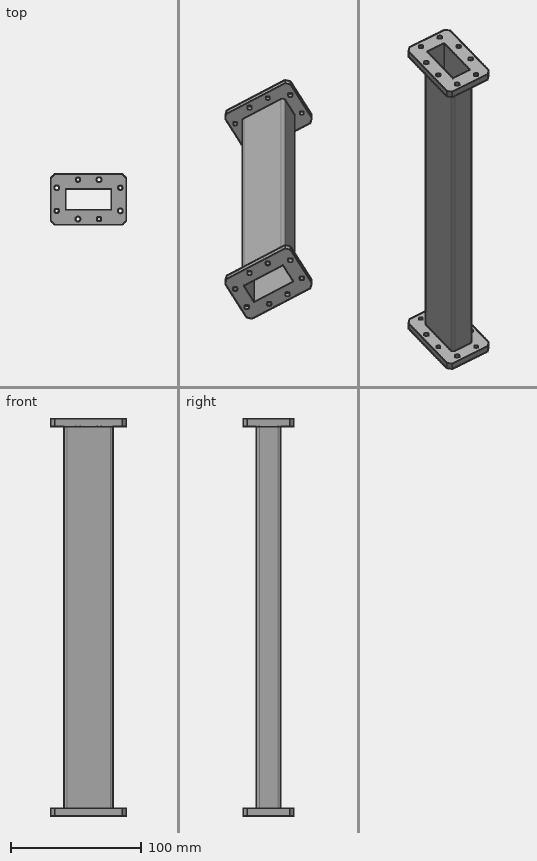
import cadquery as cq

length = 304.8
flange_width = 58.0
flange_depth = 39.0
flange_thickness = 6.0
flange_corner = 3.0

bore_width = 34.7
bore_depth = 16.0
wall = 1.6
tube_corner = 2.5
tube_width = bore_width + 2 * wall
tube_depth = bore_depth + 2 * wall

end_pair_span = 48.8
end_pair_pitch = 17.7
side_pair_span = 30.2
side_pair_pitch = 16.2

plain_hole_diameter = 3.7
narrow_hole_diameter = 3.0
countersink_diameter = 3.7
countersink_angle = 90


def opposite_points(x, y):
    """The point (x, y) and its half-turn copy about the tube axis."""
    return [(x, y), (-x, -y)]


end_x = end_pair_span / 2
end_y = end_pair_pitch / 2
side_x = side_pair_pitch / 2
side_y = side_pair_span / 2
plain_holes = opposite_points(-end_x, end_y) + opposite_points(side_x, side_y)
narrow_holes = opposite_points(end_x, end_y) + opposite_points(-side_x, side_y)


def drilled_flange():
    """Top flange: a plate with cut corners, drilled from its outer face."""
    plate = (
        cq.Workplane("XY", origin=(0, 0, length / 2 - flange_thickness))
        .rect(flange_width, flange_depth)
        .extrude(flange_thickness)
        .edges("|Z")
        .chamfer(flange_corner)
    )
    plate = plate.faces(">Z").workplane(origin=(0, 0, 0)).pushPoints(plain_holes).hole(plain_hole_diameter)
    return (
        plate.faces(">Z")
        .workplane(origin=(0, 0, 0))
        .pushPoints(narrow_holes)
        .cskHole(narrow_hole_diameter, countersink_diameter, countersink_angle)
    )


tube = (
    cq.Workplane("XY")
    .box(tube_width, tube_depth, length)
    .edges("|Z")
    .fillet(tube_corner)
)

top_flange = drilled_flange()
bottom_flange = top_flange.mirror("XY")

bore = cq.Workplane("XY").box(bore_width, bore_depth, length)

result = tube.union(top_flange).union(bottom_flange).cut(bore)